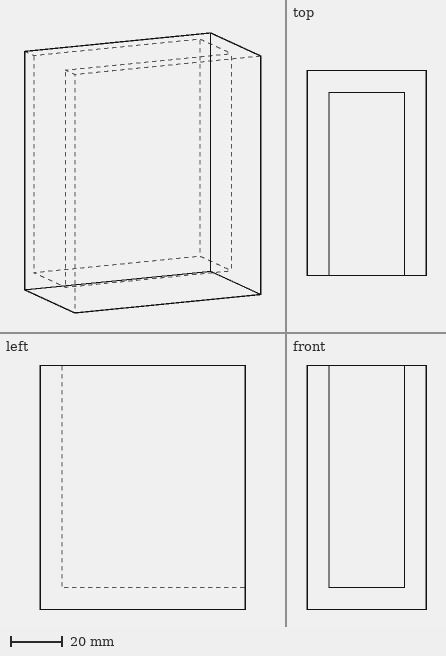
import cadquery as cq

width = 46.0
depth = 79.0
height = 94.0

wall = 8.5

block = cq.Workplane("XY").box(width, depth, height)

cavity = (
    cq.Workplane("XY")
    .box(width - 2 * wall, depth - wall, height - wall)
    .translate((0, -wall / 2, wall / 2))
)

result = block.cut(cavity)